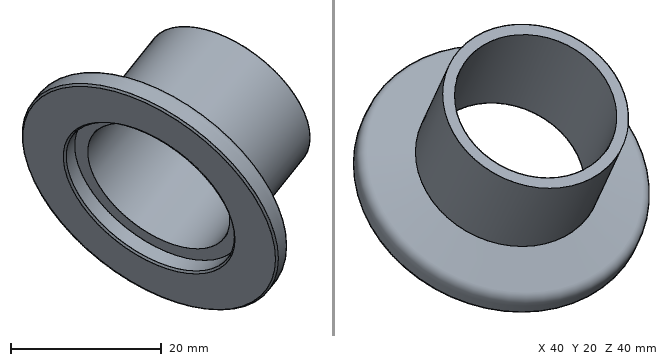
import cadquery as cq
import math

flange_radius = 20.0
total_length = 20.0
tube_diameter = 25.4
tube_radius = tube_diameter / 2
bore_radius = 11.1
rim_chamfer = 0.3

cone_angle = math.radians(15.0)
rim_end = 1.9
shoulder_radius = 1.5

recess_radius = 13.1
recess_depth = 2.4
recess_chamfer = 0.3

shoulder_center_r = flange_radius - shoulder_radius


def shoulder_point(angle):
    """Point on the shoulder arc, with the angle measured from the radial direction."""
    return (
        shoulder_center_r + shoulder_radius * math.cos(angle),
        rim_end + shoulder_radius * math.sin(angle),
    )


shoulder_sweep = math.pi / 2 - cone_angle
shoulder_end = shoulder_point(shoulder_sweep)
cone_end = shoulder_end[1] + (shoulder_end[0] - tube_radius) * math.tan(cone_angle)

half_section = (
    cq.Workplane("XY")
    .moveTo(recess_radius + recess_chamfer, 0)
    .lineTo(flange_radius - rim_chamfer, 0)
    .lineTo(flange_radius, rim_chamfer)
    .lineTo(flange_radius, rim_end)
    .threePointArc(shoulder_point(shoulder_sweep / 2), shoulder_end)
    .lineTo(tube_radius, cone_end)
    .lineTo(tube_radius, total_length)
    .lineTo(bore_radius, total_length)
    .lineTo(bore_radius, recess_depth)
    .lineTo(recess_radius, recess_depth)
    .lineTo(recess_radius, recess_chamfer)
    .close()
)

result = half_section.revolve(360, (0, 0, 0), (0, 1, 0))